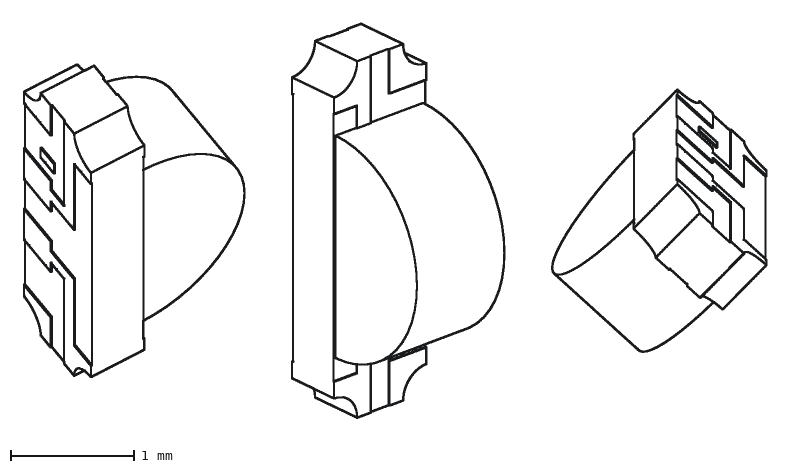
import cadquery as cq

board_width = 1.0
board_length = 3.2
core_thickness = 0.5
corner_radius = 0.25

copper_thickness = 0.01
pad_length = 0.4
left_pad_width = 0.4
trace_left_edge = 0.6
trace_right_edge = 0.75
tab_outer_height = 0.6
tab_inner_height = 0.2
neck_outer_height = 0.48
neck_inner_height = 0.325

mark_width = 0.2
mark_height = 0.125
mark_center_x = -0.15
mark_center_z = 0.813

lens_radius = 1.0
lens_width = 0.95

left = -board_width / 2
right = board_width / 2
end = board_length / 2
pad_inner_height = end - pad_length
left_pad_right = left + left_pad_width
trace_left = left + trace_left_edge
trace_right = left + trace_right_edge
back_face = core_thickness
embed = copper_thickness

front_trace_outline = [
    (trace_left, end),
    (right, end),
    (right, pad_inner_height),
    (trace_right, pad_inner_height),
    (trace_right, neck_inner_height),
    (left_pad_right, neck_inner_height),
    (left_pad_right, tab_inner_height),
    (left, tab_inner_height),
    (left, tab_outer_height),
    (left_pad_right, tab_outer_height),
    (left_pad_right, neck_outer_height),
    (trace_left, neck_outer_height),
]

back_trace_outline = front_trace_outline[:4] + [
    (trace_right, neck_outer_height),
    (trace_left, neck_outer_height),
]

left_pad_outline = [
    (left, end),
    (left_pad_right, end),
    (left_pad_right, pad_inner_height),
    (left, pad_inner_height),
]


def slab(outline, y_start, y_end):
    """Extrude an X-Z outline between two Y positions."""
    plane = cq.Workplane("XZ", origin=(0, y_start, 0))
    return plane.polyline(outline).close().extrude(y_start - y_end)


def mirrored_in_z(outline):
    return [(x, -z) for x, z in outline]


body = cq.Workplane("XY").box(board_width, core_thickness, board_length)
body = body.translate((0, core_thickness / 2, 0))

for outline in (left_pad_outline, front_trace_outline):
    for half in (outline, mirrored_in_z(outline)):
        body = body.union(slab(half, -copper_thickness, embed))
for outline in (left_pad_outline, back_trace_outline):
    for half in (outline, mirrored_in_z(outline)):
        body = body.union(slab(half, back_face - embed, back_face + copper_thickness))

mark = cq.Workplane("XY").box(mark_width, copper_thickness + embed, mark_height)
body = body.union(mark.translate((mark_center_x, 0, mark_center_z)))

notches = (
    cq.Workplane("XZ", origin=(0, -core_thickness, 0))
    .rect(board_width, board_length, forConstruction=True)
    .vertices()
    .circle(corner_radius)
    .extrude(-3 * core_thickness)
)
body = body.cut(notches)

lens = (
    cq.Workplane("YZ", origin=(-lens_width / 2, 0, 0))
    .moveTo(back_face, -lens_radius)
    .threePointArc((back_face + lens_radius, 0), (back_face, lens_radius))
    .close()
    .extrude(lens_width)
)

result = body.union(lens)